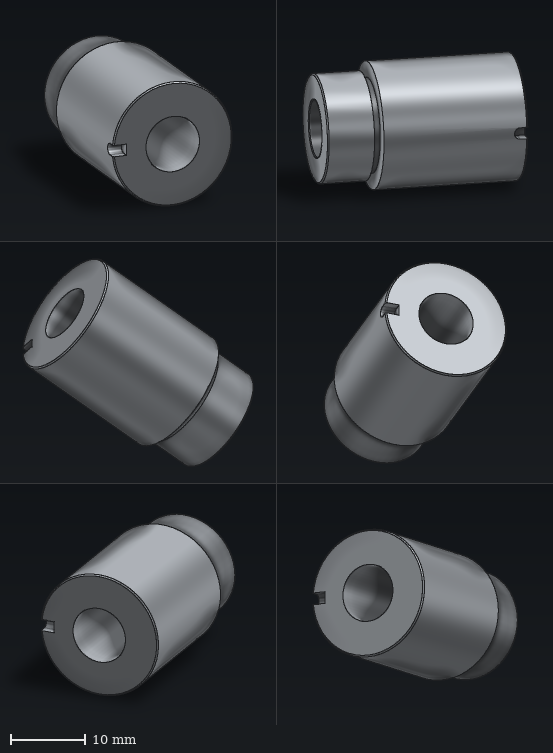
import cadquery as cq

length = 27.5
body_diameter = 17.5
spigot_diameter = 15.0
neck_diameter = 13.0
bore_diameter = 7.8
spigot_length = 6.5
neck_length = 1.02
edge_chamfer = 0.2
bore_chamfer = 0.15
slot_width = 1.6
slot_length = 1.87
slot_depth = 2.0

body_start = spigot_length + neck_length
body_length = length - body_start


def cylinder(start, cylinder_length, diameter):
    """Solid cylinder along +X from the given start."""
    return cq.Workplane("YZ", origin=(start, 0, 0)).circle(diameter / 2).extrude(cylinder_length)


spigot = cylinder(0, spigot_length, spigot_diameter).faces("<X").chamfer(edge_chamfer)
neck = cylinder(spigot_length, neck_length, neck_diameter)
body = cylinder(body_start, body_length, body_diameter).faces(">X").chamfer(edge_chamfer)
sleeve = spigot.union(neck).union(body)

sleeve = sleeve.cut(cylinder(0, length, bore_diameter))
sleeve = sleeve.faces("<X").edges(
    cq.selectors.RadiusNthSelector(0)
).chamfer(bore_chamfer)

slot_radius = slot_width / 2
slot_center_x = length - slot_length + slot_radius
slot = (
    cq.Workplane("XZ", origin=(0, -body_diameter / 2, 0))
    .moveTo(length, slot_radius)
    .lineTo(slot_center_x, slot_radius)
    .threePointArc((length - slot_length, 0), (slot_center_x, -slot_radius))
    .lineTo(length, -slot_radius)
    .close()
    .extrude(-slot_depth)
)

result = sleeve.cut(slot)